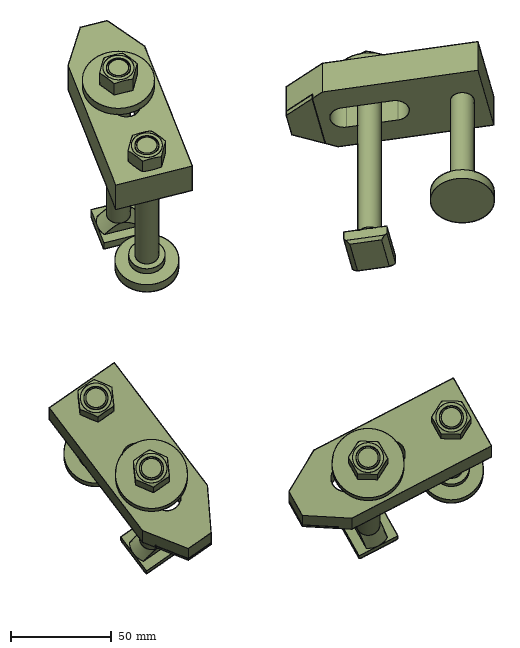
import cadquery as cq
import math


bar_length = 100.0
bar_width = 40.0
bar_height = 20.0
nose_width = 14.1
taper_length = 21.0
slot_length = 40.0
slot_width = 14.0

pad_length = 15.0
pad_height = 2.8
pad_clearance = 0.3

shank_radius = 6.0
shank_end_chamfer = 0.9

hex_flats = 17.0
hex_height = 10.0
hex_face_radius = 7.7
hex_chamfer_angle = 20

bolt_x = 41.0
bolt_length = 133.0
collar_radius = 18.0
collar_height = 5.0
head_width = 22.0
head_height = 8.0
head_end_chamfer = 2.9
head_side_chamfer_width = 1.2
head_side_chamfer_height = 1.9
neck_height = 6.0

support_x = 88.0
foot_bottom = -69.0
foot_radius = 16.0
foot_height = 6.0
foot_collar_radius = 9.0
foot_collar_height = 4.0

collar_top = bar_height + collar_height
bolt_top = collar_top + hex_height
bolt_bottom = bolt_top - bolt_length
head_top = bolt_bottom + head_height
neck_top = head_top + neck_height
foot_collar_bottom = foot_bottom + foot_height
foot_collar_top = foot_collar_bottom + foot_collar_height
support_top = bar_height + hex_height


def cylinder(x, bottom, top, radius):
    """Upright cylinder on the centre plane between two heights."""
    return cq.Workplane("XY", origin=(x, 0, bottom)).circle(radius).extrude(top - bottom)


def threaded_shank(x, bottom, top):
    """Shank with a chamfered upper end."""
    return cylinder(x, bottom, top, shank_radius).faces(">Z").chamfer(shank_end_chamfer)


def hex_cone(x, face_z, inward):
    """Blunt cone that bevels hexagon corners; it widens from face_z in the direction `inward` (+1 or -1)."""
    hex_corner_radius = hex_flats / math.sqrt(3)
    wide_radius = 2 * hex_corner_radius
    rise = (wide_radius - hex_face_radius) * math.tan(math.radians(hex_chamfer_angle))
    wide_z = face_z + inward * rise
    far_z = wide_z + inward * hex_height
    profile = [(0, face_z), (hex_face_radius, face_z), (wide_radius, wide_z), (wide_radius, far_z), (0, far_z)]
    return (
        cq.Workplane("XZ", origin=(x, 0, 0))
        .polyline(profile)
        .close()
        .revolve(360, (0, 0, 0), (0, 1, 0))
    )


def hexagon(x, bottom):
    """Hexagonal prism with corners on +Y and -Y, bevelled at the top."""
    prism = (
        cq.Workplane("XY", origin=(x, 0, bottom))
        .polygon(6, hex_flats, circumscribed=True)
        .extrude(hex_height)
    )
    return prism.intersect(hex_cone(x, bottom + hex_height, -1))


def nose_block(length, height):
    """Full-width block at the underside, reaching back from the nose."""
    return cq.Workplane("XY").box(length, bar_width, height, centered=(False, True, False))


def tapered_nose_plate(length, height):
    """Front stretch of the bar's outline, from the nose back to `length`."""
    half_nose = nose_width / 2
    half_width = bar_width / 2
    outline = [
        (0, -half_nose),
        (taper_length, -half_width),
        (bar_length, -half_width),
        (bar_length, half_width),
        (taper_length, half_width),
        (0, half_nose),
    ]
    full_plate = cq.Workplane("XY").polyline(outline).close().extrude(height)
    return full_plate.intersect(nose_block(length, height))


def make_bar():
    """Tapered bar with a bolt slot, a support hole and a seat for the pad."""
    slot = cq.Workplane("XY").center(bolt_x, 0).slot2D(slot_length, slot_width).extrude(bar_height)
    support_hole = cylinder(support_x, 0, bar_height, shank_radius)
    pad_seat = nose_block(pad_length + pad_clearance, pad_height + pad_clearance)
    return tapered_nose_plate(bar_length, bar_height).cut(slot).cut(support_hole).cut(pad_seat)


def make_pad():
    """Pad flush with the bar's nose, sides and underside, with a narrow gap above and behind it."""
    return tapered_nose_plate(pad_length, pad_height)


def bolt_head():
    """Square T-slot head whose lower edges are bevelled."""
    half = head_width / 2
    end_bevel_top = bolt_bottom + head_end_chamfer
    side_bevel_top = bolt_bottom + head_side_chamfer_height
    end_profile = [
        (half - head_end_chamfer, bolt_bottom),
        (half, end_bevel_top),
        (half, head_top),
        (-half, head_top),
        (-half, end_bevel_top),
        (head_end_chamfer - half, bolt_bottom),
    ]
    side_profile = [
        (half - head_side_chamfer_width, bolt_bottom),
        (half, side_bevel_top),
        (half, head_top),
        (-half, head_top),
        (-half, side_bevel_top),
        (head_side_chamfer_width - half, bolt_bottom),
    ]
    along_y = cq.Workplane("XZ", origin=(bolt_x, 0, 0)).polyline(end_profile).close().extrude(half, both=True)
    along_x = cq.Workplane("YZ", origin=(bolt_x, 0, 0)).polyline(side_profile).close().extrude(half, both=True)
    return along_y.intersect(along_x)


def bolt_neck():
    """Cone from the shank out to the head, cut flat to the shank diameter on its two X sides."""
    cone = cq.Workplane(cq.Solid.makeCone(
        head_width / 2, shank_radius, neck_height, pnt=cq.Vector(bolt_x, 0, head_top)))
    flats = (
        cq.Workplane("XY", origin=(bolt_x, 0, head_top))
        .rect(2 * shank_radius, head_width)
        .extrude(neck_height)
    )
    return cone.intersect(flats)


def make_t_bolt():
    """T-slot bolt: head, flattened conical neck and shank."""
    return bolt_head().union(bolt_neck()).union(threaded_shank(bolt_x, neck_top, bolt_top))


def make_collar_nut():
    """Hexagon on a wide round collar that bridges the bar's slot."""
    collar = cylinder(bolt_x, bar_height, collar_top, collar_radius)
    bore = cylinder(bolt_x, bar_height, bolt_top, shank_radius)
    return collar.union(hexagon(bolt_x, collar_top)).cut(bore)


def make_support_screw():
    """Screw standing on a stepped round foot."""
    foot = cylinder(support_x, foot_bottom, foot_collar_bottom, foot_radius)
    foot_collar = cylinder(support_x, foot_collar_bottom, foot_collar_top, foot_collar_radius)
    return foot.union(foot_collar).union(threaded_shank(support_x, foot_collar_top, support_top))


def make_support_nut():
    """Hexagon nut bevelled on both faces."""
    bore = cylinder(support_x, bar_height, support_top, shank_radius)
    return hexagon(support_x, bar_height).intersect(hex_cone(support_x, bar_height, 1)).cut(bore)


bar = make_bar()
pad = make_pad()
t_bolt = make_t_bolt()
collar_nut = make_collar_nut()
support_screw = make_support_screw()
support_nut = make_support_nut()

result = cq.Compound.makeCompound([
    bar.val(),
    pad.val(),
    t_bolt.val(),
    collar_nut.val(),
    support_screw.val(),
    support_nut.val(),
])